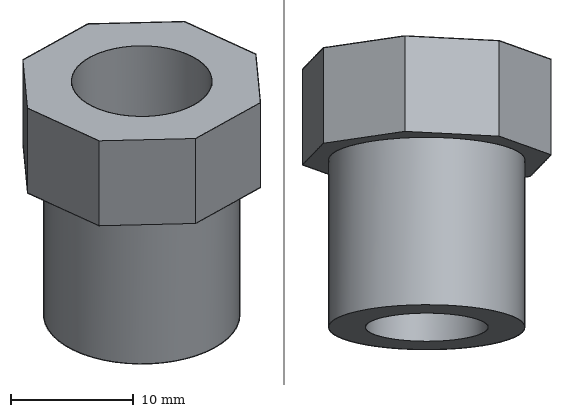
import cadquery as cq
import math

head_across_flats = 19.0
head_height = 8.0
shank_diameter = 16.0
shank_length = 14.0
bore_diameter = 10.0
socket_diameter = 11.45
socket_depth = 14.0

head_sides = 8
half_side_angle = 180.0 / head_sides
head_across_corners = head_across_flats / math.cos(math.radians(half_side_angle))
total_height = shank_length + head_height


def make_shank():
    """Round shank standing on the XY plane."""
    return cq.Workplane("XY").circle(shank_diameter / 2).extrude(shank_length)


def make_head():
    """Octagonal head on top of the shank, with flats facing X and Y."""
    return (
        cq.Workplane("XY")
        .polygon(head_sides, head_across_corners)
        .extrude(head_height)
        .rotate((0, 0, 0), (0, 0, 1), half_side_angle)
        .translate((0, 0, shank_length))
    )


def make_stepped_bore():
    """Through bore with a wider socket opening at the top of the head."""
    bore = cq.Workplane("XY").circle(bore_diameter / 2).extrude(total_height)
    socket = (
        cq.Workplane("XY")
        .workplane(offset=total_height - socket_depth)
        .circle(socket_diameter / 2)
        .extrude(socket_depth)
    )
    return bore.union(socket)


result = make_shank().union(make_head()).cut(make_stepped_bore())